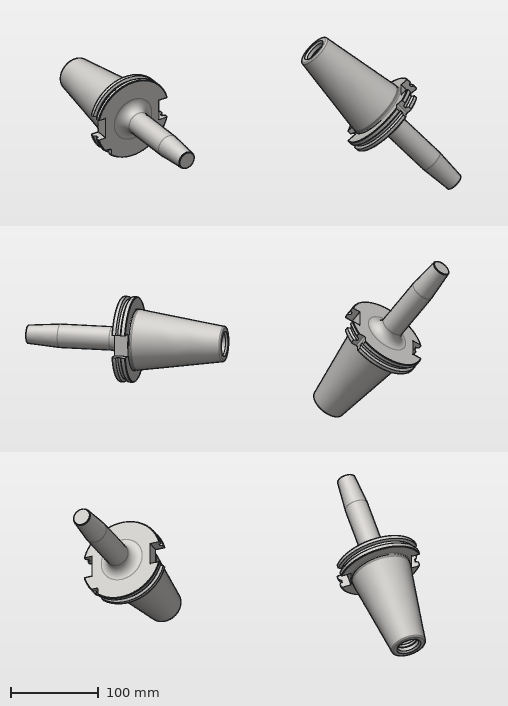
import cadquery as cq
import math

GAUGE_DIAMETER = 69.85
TAPER_RATIO = 7 / 24
TAPER_LENGTH = 101.6
SMALL_END = -TAPER_LENGTH
SMALL_END_DIAMETER = GAUGE_DIAMETER - TAPER_LENGTH * TAPER_RATIO
SMALL_END_FILLET = 2.0

COLLAR_DIAMETER = 69.2
COLLAR_HALF_BEVEL = 0.7
COLLAR_FILLET = 1.0

FLANGE_DIAMETER = 97.5
FLANGE_START = 3.175
FLANGE_WIDTH = 15.875
FLANGE_END = FLANGE_START + FLANGE_WIDTH
FLANGE_CHAMFER = 0.8

GROOVE_CENTRE = 11.3
GROOVE_FLOOR_WIDTH = 2.9
GROOVE_DEPTH = 3.0
GROOVE_WALL_ANGLE = 30

SLOT_WIDTH = 25.7
SLOT_FLOOR_PLUS_Y = 35.3
SLOT_FLOOR_MINUS_Y = 37.25
NOTCH_Y = -29.7
NOTCH_Z = -29.9
NOTCH_FILLET = 2.0

NOSE_END = 130.0
NOSE_DIAMETER = 27.0
NOSE_TIP_DIAMETER = 21.0
NOSE_TAPER_ANGLE = 4.5
NOSE_TIP_CHAMFER = 0.8
NECK_FILLET = 12.0

MOUTH_DIAMETER = 28.8
MOUTH_CHAMFER = 0.4
PILOT_DIAMETER = 25.0
PILOT_START = 2.4
PILOT_END = 6.9
RELIEF_DIAMETER = 24.2
RELIEF_START = 7.6
RELIEF_END = 10.8
COUNTERSINK_DIAMETER = 23.7
COUNTERSINK_ANGLE = 60
CORE_DIAMETER = 21.0
CORE_END = 45.0
DRILL_POINT_ANGLE = 118

ARC_MIDDLE = 1 - math.sqrt(0.5)


def turned_body():
    taper_top_radius = GAUGE_DIAMETER / 2 - COLLAR_HALF_BEVEL * TAPER_RATIO / 2
    collar_radius = COLLAR_DIAMETER / 2
    flange_radius = FLANGE_DIAMETER / 2
    nose_radius = NOSE_DIAMETER / 2
    tip_radius = NOSE_TIP_DIAMETER / 2
    nose_taper_length = (nose_radius - tip_radius) / math.tan(math.radians(NOSE_TAPER_ANGLE))
    neck_arc_middle = NECK_FILLET * ARC_MIDDLE
    collar_arc_middle = COLLAR_FILLET * ARC_MIDDLE
    profile = (
        cq.Workplane("XY")
        .moveTo(SMALL_END, 0)
        .lineTo(SMALL_END, SMALL_END_DIAMETER / 2)
        .lineTo(-COLLAR_HALF_BEVEL, taper_top_radius)
        .lineTo(COLLAR_HALF_BEVEL, collar_radius)
        .lineTo(FLANGE_START - COLLAR_FILLET, collar_radius)
        .threePointArc(
            (FLANGE_START - collar_arc_middle, collar_radius + collar_arc_middle),
            (FLANGE_START, collar_radius + COLLAR_FILLET),
        )
        .lineTo(FLANGE_START, flange_radius - FLANGE_CHAMFER)
        .lineTo(FLANGE_START + FLANGE_CHAMFER, flange_radius)
        .lineTo(FLANGE_END - FLANGE_CHAMFER, flange_radius)
        .lineTo(FLANGE_END, flange_radius - FLANGE_CHAMFER)
        .lineTo(FLANGE_END, nose_radius + NECK_FILLET)
        .threePointArc(
            (FLANGE_END + neck_arc_middle, nose_radius + neck_arc_middle),
            (FLANGE_END + NECK_FILLET, nose_radius),
        )
        .lineTo(NOSE_END - nose_taper_length, nose_radius)
        .lineTo(NOSE_END, tip_radius)
        .lineTo(NOSE_END, 0)
        .close()
    )
    body = profile.revolve(360, (0, 0, 0), (1, 0, 0))
    body = body.faces("<X").edges().fillet(SMALL_END_FILLET)
    return body.faces(">X").edges().chamfer(NOSE_TIP_CHAMFER)


def gripper_groove():
    half_floor = GROOVE_FLOOR_WIDTH / 2
    half_mouth = half_floor + GROOVE_DEPTH * math.tan(math.radians(GROOVE_WALL_ANGLE))
    rim = FLANGE_DIAMETER / 2
    return (
        cq.Workplane("XY")
        .polyline([
            (GROOVE_CENTRE - half_mouth, rim),
            (GROOVE_CENTRE - half_floor, rim - GROOVE_DEPTH),
            (GROOVE_CENTRE + half_floor, rim - GROOVE_DEPTH),
            (GROOVE_CENTRE + half_mouth, rim),
        ])
        .close()
        .revolve(360, (0, 0, 0), (1, 0, 0))
    )


def flange_cutter(y_inner, y_outer, z_low, z_high):
    return cq.Workplane("XY").box(
        FLANGE_WIDTH, y_outer - y_inner, z_high - z_low, centered=False
    ).translate((FLANGE_START, y_inner, z_low))


def drive_slots():
    half = SLOT_WIDTH / 2
    plus_y = flange_cutter(SLOT_FLOOR_PLUS_Y, FLANGE_DIAMETER, -half, half)
    minus_y = flange_cutter(-FLANGE_DIAMETER, -SLOT_FLOOR_MINUS_Y, -half, half)
    return plus_y.union(minus_y)


def orientation_notch():
    cutter = flange_cutter(-FLANGE_DIAMETER, NOTCH_Y, -FLANGE_DIAMETER, NOTCH_Z)
    return cutter.edges("|X and >Y and >Z").fillet(NOTCH_FILLET)


def stepped_bore():
    mouth_radius = MOUTH_DIAMETER / 2
    pilot_radius = PILOT_DIAMETER / 2
    relief_radius = RELIEF_DIAMETER / 2
    countersink_radius = COUNTERSINK_DIAMETER / 2
    core_radius = CORE_DIAMETER / 2
    countersink_length = (countersink_radius - core_radius) / math.tan(math.radians(COUNTERSINK_ANGLE / 2))
    point_length = core_radius / math.tan(math.radians(DRILL_POINT_ANGLE / 2))
    return (
        cq.Workplane("XY", origin=(SMALL_END, 0, 0))
        .polyline([
            (0, 0),
            (0, mouth_radius),
            (MOUTH_CHAMFER, mouth_radius - MOUTH_CHAMFER),
            (PILOT_START, pilot_radius),
            (PILOT_END, pilot_radius),
            (RELIEF_START, relief_radius),
            (RELIEF_END, relief_radius),
            (RELIEF_END, countersink_radius),
            (RELIEF_END + countersink_length, core_radius),
            (CORE_END, core_radius),
            (CORE_END + point_length, 0),
        ])
        .close()
        .revolve(360, (0, 0, 0), (1, 0, 0))
    )


result = (
    turned_body()
    .cut(gripper_groove())
    .cut(drive_slots())
    .cut(orientation_notch())
    .cut(stepped_bore())
)